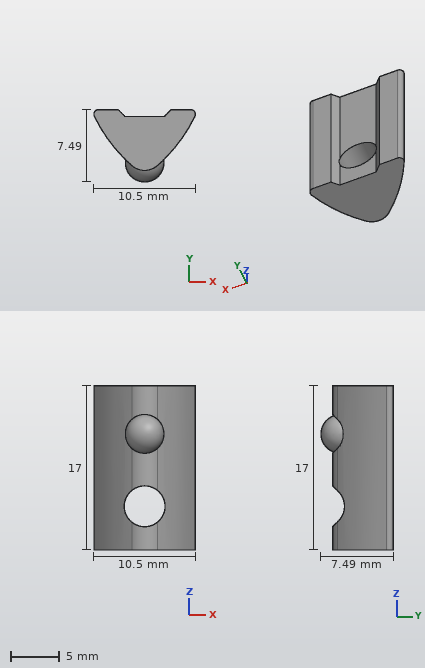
import cadquery as cq
import math

length = 17.0
width = 10.5
body_depth = 6.29
corner_radius = 0.5
nose_radius = 2.0
flank_radius = 15.98

groove_depth = 0.7
groove_half_width = 2.74

hole_diameter = 4.2
hole_height = 4.52

ball_diameter = 4.01
ball_height = 12.0
ball_projection = 1.2
ball_radius = ball_diameter / 2
ball_y = -(body_depth + ball_projection) + ball_radius


def point_on_circle(center, radius, angle):
    """Point at an angle, in radians, on a circle in the XY plane."""
    return (center[0] + radius * math.cos(angle), center[1] + radius * math.sin(angle))


def mirrored(point):
    """The same point on the -X side."""
    return (-point[0], point[1])


def make_profile():
    """Closed outline: convex flanks tangent to the round corners and nose."""
    corner_center = (width / 2 - corner_radius, -corner_radius)
    nose_center = (0, -body_depth + nose_radius)

    to_corner = flank_radius - corner_radius
    to_nose = flank_radius - nose_radius
    dx = corner_center[0] - nose_center[0]
    dy = corner_center[1] - nose_center[1]
    spacing = math.hypot(dx, dy)
    nose_corner_angle = math.atan2(dy, dx)
    angle_at_nose = math.acos((to_nose**2 + spacing**2 - to_corner**2) / (2 * to_nose * spacing))
    flank_center = point_on_circle(nose_center, to_nose, nose_corner_angle + angle_at_nose)

    corner_angle = math.atan2(corner_center[1] - flank_center[1], corner_center[0] - flank_center[0])
    nose_angle = math.atan2(nose_center[1] - flank_center[1], nose_center[0] - flank_center[0])
    corner_top = (corner_center[0], 0)
    corner_side = (width / 2, -corner_radius)
    flank_start = point_on_circle(flank_center, flank_radius, corner_angle)
    flank_middle = point_on_circle(flank_center, flank_radius, (corner_angle + nose_angle) / 2)
    flank_end = point_on_circle(flank_center, flank_radius, nose_angle)
    groove_edge = (groove_half_width, 0)
    groove_floor = (groove_half_width - groove_depth, -groove_depth)

    return (
        cq.Workplane("XY")
        .moveTo(*mirrored(groove_floor))
        .lineTo(*groove_floor)
        .lineTo(*groove_edge)
        .lineTo(*corner_top)
        .threePointArc(corner_side, flank_start)
        .threePointArc(flank_middle, flank_end)
        .threePointArc((0, -body_depth), mirrored(flank_end))
        .threePointArc(mirrored(flank_middle), mirrored(flank_start))
        .threePointArc(mirrored(corner_side), mirrored(corner_top))
        .lineTo(*mirrored(groove_edge))
        .close()
    )


def make_ball():
    """Ball revolved about its Y axis."""
    half_disc = (
        cq.Workplane("XY", origin=(0, ball_y, ball_height))
        .moveTo(0, -ball_radius)
        .threePointArc((ball_radius, 0), (0, ball_radius))
        .close()
    )
    return half_disc.revolve(360, (0, 0), (0, 1))


def make_cross_hole():
    return (
        cq.Workplane("XZ", origin=(0, 0, hole_height))
        .circle(hole_diameter / 2)
        .extrude(body_depth)
    )


def make_ball_seat():
    """Bore open at the nose, with a hemispherical bottom that fits the ball."""
    half_section = (
        cq.Workplane("XY", origin=(0, ball_y, ball_height))
        .moveTo(0, -ball_radius)
        .lineTo(ball_radius, -ball_radius)
        .lineTo(ball_radius, 0)
        .radiusArc((0, ball_radius), -ball_radius)
        .close()
    )
    return half_section.revolve(360, (0, 0), (0, 1))


def make_body():
    return make_profile().extrude(length).cut(make_cross_hole()).cut(make_ball_seat())


body = make_body()
ball = make_ball()
result = cq.Compound.makeCompound([body.val(), ball.val()])